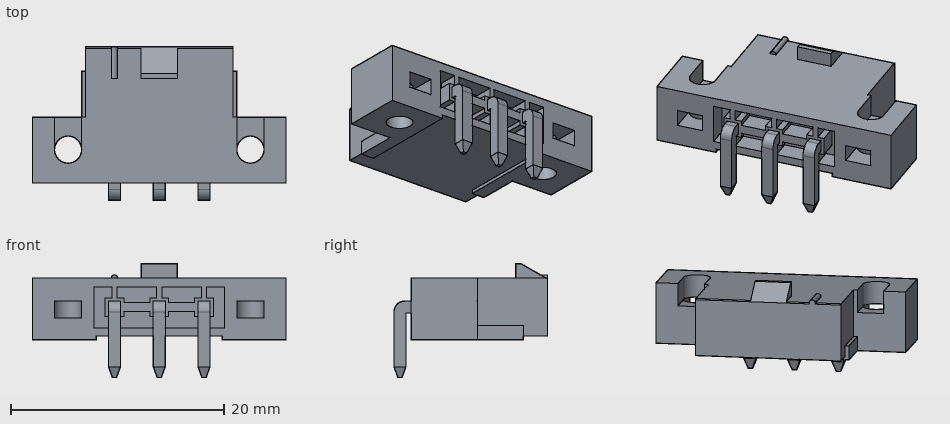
import cadquery as cq
import math

total_width = 23.8
housing_height = 5.8

ear_length = 6.2
body_width = 13.86
body_length = 12.8
bottom_relief = 0.35
relief_width = 11.8
skid_span = 14.58
skid_length = 10.52
skid_height = 1.35

slot_diameter = 2.52
slot_spacing = 17.1
slot_centre_y = 3.15
slot_floor_z = 3.66
window_bottom_z = 2.06

latch_width = 3.4
latch_height = 1.35
latch_length = 3.0
latch_crest_length = 0.5
ramp_angle = math.radians(30)
key_radius = 0.3
key_length = 3.0

pin_count = 3
pin_pitch = 4.2
pin_size = 1.14
pin_centre_z = 3.07
pin_reach = 1.62
pin_bend_radius = 1.02
pin_drop = 3.55
pin_tip_length = 1.02
pin_tip_size = 0.4

recess_width = 12.28
recess_bottom_z = 1.13
recess_top_z = 4.94
recess_depth = 2.0
stem_width = 0.5
boss_width = 1.76
boss_height = 1.74
bar_height = 0.86

pin_positions = [(i - (pin_count - 1) / 2) * pin_pitch for i in range(pin_count)]


def block(width, y_range, z_range, x_centre=0.0):
    """Box centred on x_centre in X and spanning the given Y and Z ranges."""
    length = y_range[1] - y_range[0]
    height = z_range[1] - z_range[0]
    box = cq.Workplane("XY").box(width, length, height, centered=(True, False, False))
    return box.translate((x_centre, y_range[0], z_range[0]))


def side_profile(points, width):
    """Closed (Y, Z) outline extruded symmetrically about X = 0."""
    return cq.Workplane("YZ").polyline(points).close().extrude(width / 2, both=True)


def make_housing():
    """Plug body with wide ears, low skids beside it and a raised underside."""
    ears = block(total_width, (0, ear_length), (0, housing_height))
    body = block(body_width, (0, body_length), (bottom_relief, housing_height))
    skids = block(skid_span, (0, skid_length), (0, skid_height))
    relief = block(relief_width, (0, body_length), (0, bottom_relief))
    return ears.union(body).union(skids).cut(relief)


def add_latch(housing):
    """Latch whose ramp runs on into a chamfer along the rear top edge."""
    crest_y = body_length - latch_length + latch_crest_length
    latch_front_y = body_length - latch_length
    ramp_foot_y = crest_y + latch_height / math.tan(ramp_angle)
    chamfer_drop = (body_length - ramp_foot_y) * math.tan(ramp_angle)
    chamfer = side_profile(
        [
            (ramp_foot_y, housing_height),
            (body_length, housing_height),
            (body_length, housing_height - chamfer_drop),
        ],
        body_width,
    )
    latch = side_profile(
        [
            (latch_front_y, housing_height),
            (latch_front_y, housing_height + latch_height),
            (crest_y, housing_height + latch_height),
            (ramp_foot_y, housing_height),
        ],
        latch_width,
    )
    return housing.cut(chamfer).union(latch)


def make_key_rib():
    """Round rib on the top face, in line with the first pin."""
    rib = cq.Workplane("XZ").circle(key_radius).extrude(-key_length)
    return rib.translate((pin_positions[0], body_length - key_length, housing_height))


def make_ear_cut(x_centre):
    """Open-ended slot, through hole and front window of one ear."""
    hole = cq.Workplane("XY").circle(slot_diameter / 2).extrude(housing_height)
    hole = hole.translate((x_centre, slot_centre_y, 0))
    slot = block(slot_diameter, (slot_centre_y, ear_length), (slot_floor_z, housing_height), x_centre)
    window = block(slot_diameter, (0, slot_centre_y), (window_bottom_z, slot_floor_z), x_centre)
    return hole.union(slot).union(window)


def make_recess():
    """Front recess with the pin supports and their joining bar left standing."""
    depth = (0, recess_depth)
    recess = block(recess_width, depth, (recess_bottom_z, recess_top_z))
    bar_span = pin_positions[-1] - pin_positions[0]
    bar_z = (pin_centre_z - bar_height / 2, pin_centre_z + bar_height / 2)
    boss_z = (pin_centre_z - boss_height / 2, pin_centre_z + boss_height / 2)
    recess = recess.cut(block(bar_span, depth, bar_z))
    for x in pin_positions:
        recess = recess.cut(block(stem_width, depth, (recess_bottom_z, recess_top_z), x))
        recess = recess.cut(block(boss_width, depth, boss_z, x))
    return recess


def make_pin(x_centre):
    """Square pin bent downwards, with a tapered tip."""
    top_z = pin_centre_z + pin_size / 2
    shoulder_z = pin_tip_length - pin_drop
    leg_y = (-pin_reach, pin_size - pin_reach)
    arm = block(pin_size, (-pin_reach, recess_depth), (top_z - pin_size, top_z))
    leg = block(pin_size, leg_y, (shoulder_z, top_z))
    pin = arm.union(leg).edges("|X and <Y and >Z").fillet(pin_bend_radius)
    tip = (
        cq.Workplane("XY", origin=(0, sum(leg_y) / 2, shoulder_z))
        .rect(pin_size, pin_size)
        .workplane(offset=-pin_tip_length)
        .rect(pin_tip_size, pin_tip_size)
        .loft()
    )
    return pin.union(tip).translate((x_centre, 0, 0))


result = add_latch(make_housing()).union(make_key_rib())
for side in (-1, 1):
    result = result.cut(make_ear_cut(side * slot_spacing / 2))
result = result.cut(make_recess())
for pin_x in pin_positions:
    result = result.union(make_pin(pin_x))